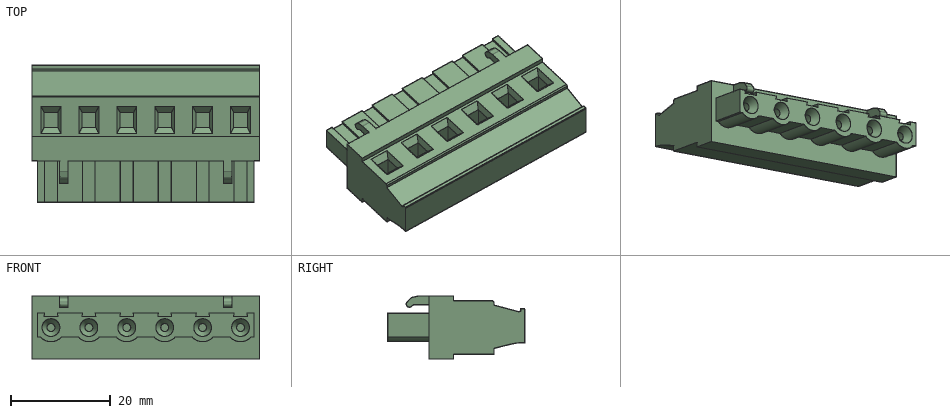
import cadquery as cq
import math


LENGTH = 45.7
POLES = 6
PITCH = LENGTH / POLES
HEIGHT = 12.7
HOUSING_DEPTH = 19.3
PLUG_DEPTH = 8.3

COLLAR_DEPTH = 4.95
COLLAR_STEP = 0.95
MID_BACK = 13.08
MID_TOP = HEIGHT - COLLAR_STEP
MID_CHAMFER = 0.27
TOP_SLOPE_HIGH = 10.9
TOP_SLOPE_LOW = 9.55
GROOVE_Y = 18.05
LIP_TOP = 10.15
LIP_WIDTH = 0.85
LIP_ROOT = 9.7
LIP_BACK_CHAMFER = 0.15
BOTTOM_SLOPE_LOW = 2.15
BOTTOM_SLOPE_HIGH = 3.0
BOTTOM_BEND_Y = 16.55
BACK_BOTTOM = 3.3
BOTTOM_ARC_Y = 17.85
BOTTOM_ARC_Z = 3.25

POCKET_Y = 8.25
POCKET_MOUTH = (4.0, 5.4)
POCKET_WELL = (2.75, 3.0)
POCKET_TAPER_DEPTH = 1.2
POCKET_WELL_DEPTH = 4.55

PLUG_LENGTH = 43.53
PLUG_BOTTOM = 4.45
PLUG_TOP = 9.25
SOCKET_Z = 6.35
LOBE_RADIUS = 2.85
KEYWAY_DEPTH = 0.65
KEYWAY_TOP_WIDTH = 2.55
KEYWAY_FLOOR_WIDTH = 2.8
CONE_DIAMETER = 3.55
BORE_DIAMETER = 1.6
CONE_DEPTH = 1.75

LATCH_X = 16.45
LATCH_WIDTH = 1.75
LATCH_THICKNESS = 1.8
LATCH_BEND_Y = -2.15
LATCH_BEVEL_END = (-3.4, 12.45)
LATCH_HOOK_START = (-3.6, 12.3)
LATCH_TIP_CENTER = (-3.95, 11.05)
LATCH_TIP_RADIUS = 0.65
LATCH_TIP_START_ANGLE = 137
LATCH_TIP_END_ANGLE = 300
LATCH_HEEL_Y = -3.1

pole_xs = [(i - (POLES - 1) / 2) * PITCH for i in range(POLES)]


def extrude_along_x(outline, width, center_x=0):
    """Extrude a closed (Y, Z) outline along X, centred on center_x."""
    return outline.close().extrude(width / 2, both=True).translate((center_x, 0, 0))


def make_housing():
    """Main body: front collar, middle step and tapered rear with a lip on top."""
    lip_front = HOUSING_DEPTH - LIP_WIDTH
    outline = (
        cq.Workplane("YZ")
        .moveTo(0, 0)
        .lineTo(0, HEIGHT)
        .lineTo(COLLAR_DEPTH, HEIGHT)
        .lineTo(COLLAR_DEPTH, MID_TOP)
        .lineTo(MID_BACK - MID_CHAMFER, MID_TOP)
        .lineTo(MID_BACK, MID_TOP - MID_CHAMFER)
        .lineTo(MID_BACK, TOP_SLOPE_HIGH)
        .lineTo(GROOVE_Y, TOP_SLOPE_LOW)
        .lineTo(lip_front, LIP_ROOT)
        .lineTo(lip_front, LIP_TOP)
        .lineTo(HOUSING_DEPTH - LIP_BACK_CHAMFER, LIP_TOP)
        .lineTo(HOUSING_DEPTH, LIP_TOP - LIP_BACK_CHAMFER)
        .lineTo(HOUSING_DEPTH, BACK_BOTTOM)
        .threePointArc((BOTTOM_ARC_Y, BOTTOM_ARC_Z), (BOTTOM_BEND_Y, BOTTOM_SLOPE_HIGH))
        .lineTo(MID_BACK, BOTTOM_SLOPE_LOW)
        .lineTo(MID_BACK, COLLAR_STEP)
        .lineTo(COLLAR_DEPTH, COLLAR_STEP)
        .lineTo(COLLAR_DEPTH, 0)
    )
    return extrude_along_x(outline, LENGTH)


def make_pocket(x):
    """Rectangular funnel that leads into a straight well."""
    mouth = cq.Workplane("XY", origin=(x, POCKET_Y, MID_TOP))
    funnel = (
        mouth.rect(*POCKET_MOUTH)
        .workplane(offset=-POCKET_TAPER_DEPTH)
        .rect(*POCKET_WELL)
        .loft(ruled=True)
    )
    well = mouth.rect(*POCKET_WELL).extrude(-POCKET_TAPER_DEPTH - POCKET_WELL_DEPTH)
    return funnel.union(well)


def make_plug():
    """Plug bar with a round lobe under each pole and a dovetail keyway above it."""
    front = cq.Workplane("XZ")
    plug = (
        front.center(0, (PLUG_BOTTOM + PLUG_TOP) / 2)
        .rect(PLUG_LENGTH, PLUG_TOP - PLUG_BOTTOM)
        .extrude(PLUG_DEPTH)
    )
    lobe_half_width = math.sqrt(LOBE_RADIUS**2 - (SOCKET_Z - PLUG_BOTTOM) ** 2)
    for x in pole_xs:
        lobe = (
            front.center(x, 0)
            .moveTo(-lobe_half_width, PLUG_BOTTOM)
            .threePointArc((0, SOCKET_Z - LOBE_RADIUS), (lobe_half_width, PLUG_BOTTOM))
            .close()
            .extrude(PLUG_DEPTH)
        )
        plug = plug.union(lobe)
        plug = plug.cut(make_keyway(x)).cut(make_socket(x))
    return plug


def make_keyway(x):
    """Groove along the plug top, wider at its floor than at its mouth."""
    floor_z = PLUG_TOP - KEYWAY_DEPTH
    return (
        cq.Workplane("XZ")
        .center(x, 0)
        .moveTo(-KEYWAY_TOP_WIDTH / 2, PLUG_TOP)
        .lineTo(KEYWAY_TOP_WIDTH / 2, PLUG_TOP)
        .lineTo(KEYWAY_FLOOR_WIDTH / 2, floor_z)
        .lineTo(-KEYWAY_FLOOR_WIDTH / 2, floor_z)
        .close()
        .extrude(PLUG_DEPTH)
    )


def make_socket(x):
    """Conical lead-in followed by a straight bore that ends at the housing's front plane."""
    cone_end = CONE_DEPTH - PLUG_DEPTH
    outline = (
        cq.Workplane("XY", origin=(x, 0, SOCKET_Z))
        .moveTo(0, -PLUG_DEPTH)
        .lineTo(CONE_DIAMETER / 2, -PLUG_DEPTH)
        .lineTo(BORE_DIAMETER / 2, cone_end)
        .lineTo(BORE_DIAMETER / 2, 0)
        .lineTo(0, 0)
        .close()
    )
    return outline.revolve(360, (0, 0, 0), (0, 1, 0))


def latch_tip_point(angle):
    """Point on the round hook tip, at an angle in degrees from +Y towards +Z."""
    center_y, center_z = LATCH_TIP_CENTER
    return (
        center_y + LATCH_TIP_RADIUS * math.cos(math.radians(angle)),
        center_z + LATCH_TIP_RADIUS * math.sin(math.radians(angle)),
    )


def make_latch(x):
    """Flat arm flush with the housing top, bevelled and bent down into a round-tipped hook."""
    arm_bottom = HEIGHT - LATCH_THICKNESS
    tip_mid_angle = (LATCH_TIP_START_ANGLE + LATCH_TIP_END_ANGLE) / 2
    outline = (
        cq.Workplane("YZ")
        .moveTo(0, HEIGHT)
        .lineTo(LATCH_BEND_Y, HEIGHT)
        .lineTo(*LATCH_BEVEL_END)
        .tangentArcPoint(LATCH_HOOK_START, relative=False)
        .lineTo(*latch_tip_point(LATCH_TIP_START_ANGLE))
        .threePointArc(latch_tip_point(tip_mid_angle), latch_tip_point(LATCH_TIP_END_ANGLE))
        .lineTo(LATCH_HEEL_Y, arm_bottom)
        .lineTo(0, arm_bottom)
    )
    return extrude_along_x(outline, LATCH_WIDTH, x)


result = make_housing().union(make_plug())
for latch_x in (-LATCH_X, LATCH_X):
    result = result.union(make_latch(latch_x))
for pole_x in pole_xs:
    result = result.cut(make_pocket(pole_x))